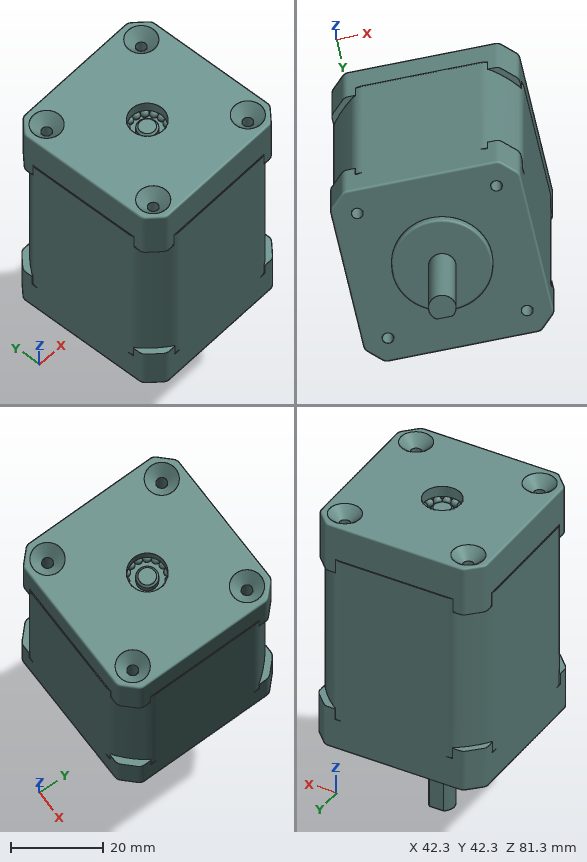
import cadquery as cq
import math

top = 81.3
collar_bottom = 20.4
body_bottom = 22.35
notch_bottom = 30.2
stack_corner_bottom = 32.9
stack_corner_top = 69.1
stack_side_top = 72.6

body_width = 42.3
stack_diameter = 51.2
stack_rounding = 3.65

top_cap_width = 41.8
top_cap_corner = 3.7
bottom_cap_corner = 3.8
cap_rounding = 1.95
rim_rounding = 0.5
window_width = 29.4

collar_diameter = 22.0
collar_rounding = 0.5
shaft_diameter = 6.0
shaft_flat = 2.4

hole_pitch = 31.0
hole_diameter = 2.5
countersink_diameter = 7.65
countersink_angle = 90.0

opening_diameter = 9.0
opening_depth = 2.7
bearing_diameter = 10.8
bearing_floor = 76.6
ball_height = 77.4
ball_count = 15
ball_diameter = 1.95
ball_circle_radius = 4.8
stub_diameter = 5.0
stub_top = 78.95
stub_chamfer = 0.5


def cap(width, corner, z_low, z_high, rim):
    """Square end cap with chamfered, softened corners and a rounded outer rim."""
    block = cq.Workplane("XY").workplane(offset=z_low).rect(width, width).extrude(z_high - z_low)
    block = block.edges("|Z").chamfer(corner).edges("|Z").fillet(cap_rounding)
    return block.faces(rim).edges().fillet(rim_rounding)


def stack(z_low, z_high):
    """Length of the stack, with its square sides blended into the turned corners."""
    base = cq.Workplane("XY").workplane(offset=z_low)
    square = base.rect(body_width, body_width).extrude(z_high - z_low)
    cylinder = base.circle(stack_diameter / 2).extrude(z_high - z_low)
    return square.intersect(cylinder).edges("|Z").fillet(stack_rounding)


def side_windows(z_low, z_high):
    """Cross-shaped region covering the middle span of all four sides."""
    base = cq.Workplane("XY").workplane(offset=z_low)
    along_x = base.rect(2 * body_width, window_width).extrude(z_high - z_low)
    along_y = base.rect(window_width, 2 * body_width).extrude(z_high - z_low)
    return along_x.union(along_y)


def body():
    """Both end caps with the stack let into the middle of every side."""
    windows = side_windows(notch_bottom, stack_side_top)
    lower = cap(body_width, bottom_cap_corner, body_bottom, stack_corner_bottom, "<Z").cut(windows)
    upper = cap(top_cap_width, top_cap_corner, stack_corner_top, top, ">Z").cut(windows)
    middle = stack(stack_corner_bottom, stack_corner_top)
    side_fill = stack(notch_bottom, stack_side_top).intersect(windows)
    return lower.union(upper).union(middle).union(side_fill)


def output_end():
    """Pilot collar and the output shaft with its full-length flat."""
    collar_height = body_bottom - collar_bottom
    collar = cq.Workplane("XY").workplane(offset=collar_bottom)
    collar = collar.circle(collar_diameter / 2).extrude(collar_height)
    collar = collar.faces("<Z").edges().fillet(collar_rounding)
    shaft = cq.Workplane("XY").circle(shaft_diameter / 2).extrude(collar_bottom)
    beyond_flat = cq.Workplane("XY").center(0, shaft_flat + shaft_diameter / 2)
    beyond_flat = beyond_flat.rect(shaft_diameter, shaft_diameter).extrude(collar_bottom)
    return collar.union(shaft.cut(beyond_flat))


def bearing_cavity():
    """Opening in the top face and the wider bearing pocket below it."""
    lip_bottom = top - opening_depth
    opening = cq.Workplane("XY").workplane(offset=lip_bottom)
    opening = opening.circle(opening_diameter / 2).extrude(opening_depth)
    pocket = cq.Workplane("XY").workplane(offset=bearing_floor)
    pocket = pocket.circle(bearing_diameter / 2).extrude(lip_bottom - bearing_floor)
    return opening.union(pocket)


def bearing_parts():
    """Ring of bearing balls sunk into the pocket floor and the rear shaft stub."""
    stub = cq.Workplane("XY").workplane(offset=bearing_floor)
    stub = stub.circle(stub_diameter / 2).extrude(stub_top - bearing_floor)
    parts = stub.faces(">Z").edges().chamfer(stub_chamfer)
    for index in range(ball_count):
        angle = 2 * math.pi * index / ball_count
        centre = (
            ball_circle_radius * math.cos(angle),
            ball_circle_radius * math.sin(angle),
            ball_height,
        )
        parts = parts.union(cq.Workplane("XY").sphere(ball_diameter / 2).translate(centre))
    return parts


result = body().union(output_end())
result = (
    result.faces(">Z").workplane(origin=(0, 0, top))
    .rect(hole_pitch, hole_pitch, forConstruction=True).vertices()
    .cskHole(hole_diameter, countersink_diameter, countersink_angle)
)
result = result.cut(bearing_cavity()).union(bearing_parts())